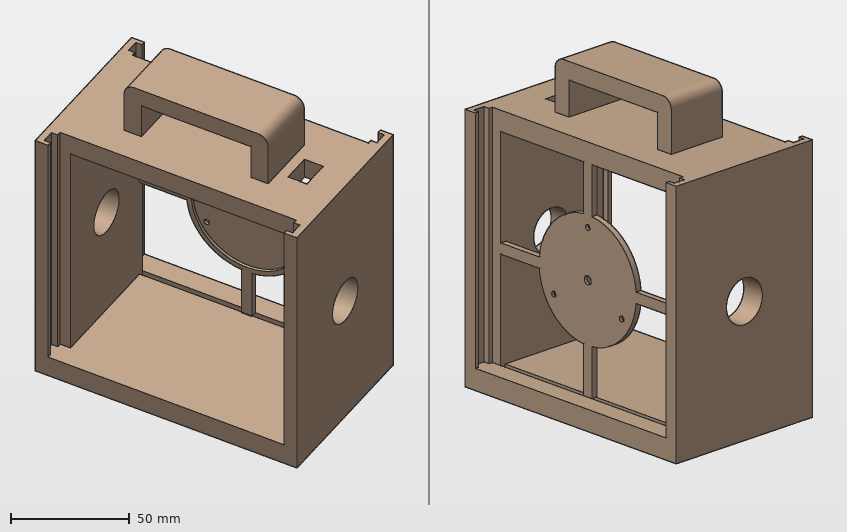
import cadquery as cq
import math

width = 128.0
depth = 80.0
total_height = 150.0
case_height = 125.0
window = 105.3
floor_thickness = 10.0
window_center_z = floor_thickness + window / 2
side_hole_diameter = 21.0

slot_width = 115.4
slot_depth = 10.0
groove_span = 121.4
groove_width = 6.0

handle_length = 70.4
handle_depth = 30.0
handle_thickness = 8.4
handle_radius = 5.1

switch_length = 9.2
switch_depth = 13.6
switch_x = 44.7

mount_diameter = 58.8
recess_diameter = 54.0
mount_thickness = 3.0
recess_depth = 1.5
spoke_width = 5.1
center_hole_diameter = 4.0
screw_hole_diameter = 2.5
screw_circle_radius = 23.7
screw_count = 3

floor_groove_width = 2.5
floor_groove_depth = 3.0

mount_rear_y = depth / 2 - slot_depth
mount_front_y = mount_rear_y - mount_thickness


def y_cylinder(diameter, start_y, length, x=0, z=window_center_z):
    """Cylinder running toward +Y from start_y."""
    base = cq.Vector(x, start_y, z)
    return cq.Workplane(cq.Solid.makeCylinder(diameter / 2, length, base, cq.Vector(0, 1, 0)))


def make_case():
    case = cq.Workplane().box(width, depth, case_height, centered=(True, True, False))
    opening = cq.Workplane().box(window, depth, window).translate((0, 0, window_center_z))
    side_holes = cq.Workplane("YZ").center(0, window_center_z).circle(side_hole_diameter / 2)
    return case.cut(opening).cut(side_holes.extrude(width / 2, both=True))


def make_slot(side):
    """Panel slot at the front (side = -1) or the rear (side = 1)."""
    slot_y = side * (depth - slot_depth) / 2
    sketch = cq.Workplane("XY", origin=(0, slot_y, floor_thickness))
    slot_height = case_height - floor_thickness
    slot = sketch.rect(slot_width, slot_depth).extrude(slot_height)
    grooves = sketch.rect(groove_span, groove_width).extrude(slot_height)
    return slot.union(grooves)


def make_floor_groove():
    groove_y = mount_rear_y - floor_groove_width / 2
    base = cq.Workplane("XY", origin=(0, groove_y, floor_thickness))
    return base.rect(window, floor_groove_width).extrude(-floor_groove_depth)


def make_handle():
    handle_height = total_height - case_height
    base = cq.Workplane("XY", origin=(0, 0, case_height))
    centered = (True, True, False)
    outer = base.box(handle_length, handle_depth, handle_height, centered=centered)
    outer = outer.edges("|Y and >Z").fillet(handle_radius)
    grip_length = handle_length - 2 * handle_thickness
    grip_height = handle_height - handle_thickness
    return outer.cut(base.box(grip_length, handle_depth, grip_height, centered=centered))


def make_switch_opening():
    wall_bottom = floor_thickness + window
    base = cq.Workplane("XY", origin=(switch_x, 0, wall_bottom))
    return base.rect(switch_length, switch_depth).extrude(case_height - wall_bottom)


def make_mount():
    mount_y = (mount_front_y + mount_rear_y) / 2
    center = (0, mount_y, window_center_z)
    mount = y_cylinder(mount_diameter, mount_front_y, mount_thickness)
    mount = mount.union(cq.Workplane().box(window, mount_thickness, spoke_width).translate(center))
    mount = mount.union(cq.Workplane().box(spoke_width, mount_thickness, window).translate(center))
    mount = mount.cut(y_cylinder(recess_diameter, mount_front_y, recess_depth))
    mount = mount.cut(y_cylinder(center_hole_diameter, mount_front_y, mount_thickness))
    for index in range(screw_count):
        angle = math.pi / 2 + index * 2 * math.pi / screw_count
        x = screw_circle_radius * math.cos(angle)
        z = window_center_z + screw_circle_radius * math.sin(angle)
        mount = mount.cut(y_cylinder(screw_hole_diameter, mount_front_y, mount_thickness, x, z))
    return mount


case = make_case()
for side in (-1, 1):
    case = case.cut(make_slot(side))
case = case.cut(make_floor_groove())
case = case.cut(make_switch_opening())
result = case.union(make_handle()).union(make_mount())